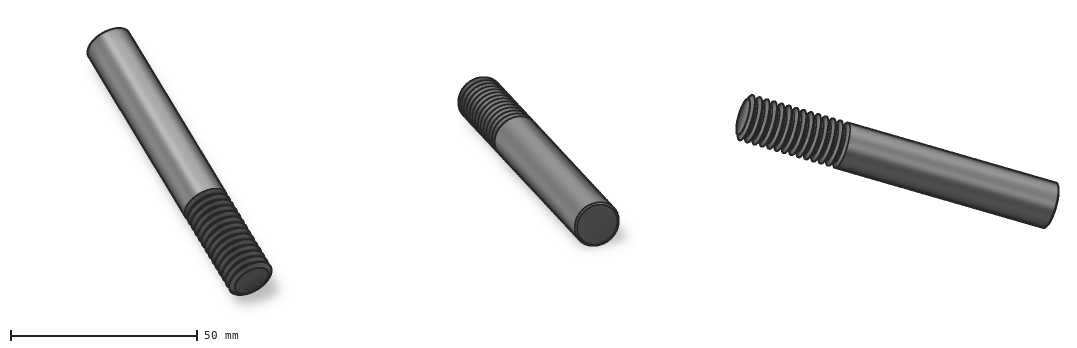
import cadquery as cq

length = 88.9
diameter = 12.7
radius = diameter / 2

chamfer_length = 0.4
chamfer_depth = 0.5

thread_length = 28.45
groove_count = 13
thread_depth = 1.3
crest_flat = 0.1
root_flat = 0.5
last_crest_to_end = 0.9
pitch = (thread_length - last_crest_to_end) / groove_count
flank_length = (pitch - crest_flat - root_flat) / 2
root_radius = radius - thread_depth

plain_end = -length / 2
thread_end = length / 2
shoulder = thread_end - thread_length


def groove_points(start):
    """Points of one groove and the crest after it, from the rim of the groove at X = start."""
    root_start = start + flank_length
    return [
        (root_start, root_radius),
        (root_start + root_flat, root_radius),
        (start + pitch - crest_flat, radius),
        (start + pitch, radius),
    ]


half_section = [
    (plain_end, 0),
    (plain_end, radius - chamfer_depth),
    (plain_end + chamfer_length, radius),
    (shoulder, radius),
]
for groove in range(groove_count):
    half_section += groove_points(shoulder + groove * pitch)

last_crest_end = thread_end - last_crest_to_end
half_section += [
    (last_crest_end + flank_length, root_radius),
    (thread_end, root_radius),
    (thread_end, 0),
]

result = (
    cq.Workplane("XY")
    .polyline(half_section)
    .close()
    .revolve(360, (0, 0, 0), (1, 0, 0))
)